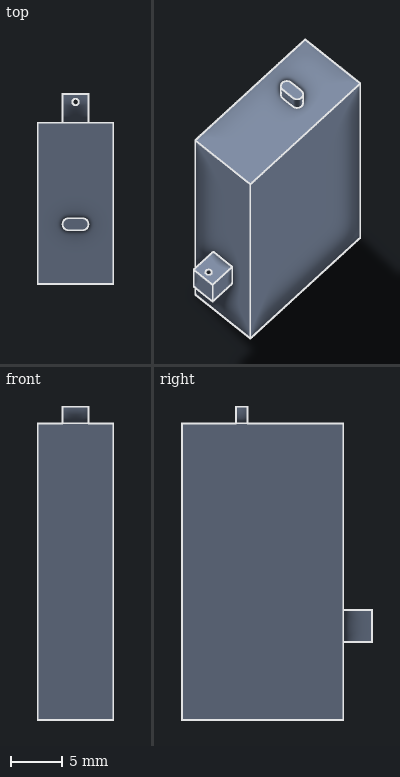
import cadquery as cq

total_length = 18.6
total_height = 30.62

body_width = 7.38
body_length = 15.77
body_height = 29.0

pin_width = 2.55
pin_thickness = 1.15
pin_height = total_height - body_height
pin_from_front = 5.85

tab_width = pin_width
tab_length = total_length - body_length
tab_height = 3.15
tab_above_base = 7.62

hole_diameter = 0.6
hole_from_tip = 0.8


def make_body():
    return cq.Workplane("XY").box(body_width, body_length, body_height, centered=(True, False, False))


def make_pin():
    return (
        cq.Workplane("XY", origin=(0, pin_from_front, body_height))
        .slot2D(pin_width, pin_thickness)
        .extrude(pin_height)
    )


def make_tab():
    tab = (
        cq.Workplane("XY", origin=(0, body_length, tab_above_base))
        .box(tab_width, tab_length, tab_height, centered=(True, False, False))
    )
    hole = (
        cq.Workplane("XY", origin=(0, total_length - hole_from_tip, tab_above_base))
        .circle(hole_diameter / 2)
        .extrude(tab_height)
    )
    return tab.cut(hole)


result = make_body().union(make_pin()).union(make_tab())